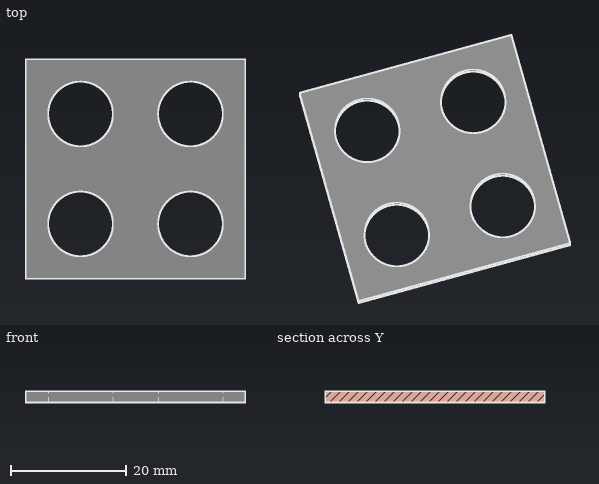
import cadquery as cq

cells_per_side = 2
cell_pitch = 19.05
plate_side = cells_per_side * cell_pitch
plate_thickness = 2.0
hole_diameter = 11.18


def make_plate():
    """Square plate centred on the origin in X and Y, resting on Z = 0."""
    return cq.Workplane("XY").box(
        plate_side, plate_side, plate_thickness, centered=(True, True, False)
    )


def cut_hole_grid(plate):
    """Cut one through hole at the centre of each square cell."""
    return (
        plate.faces(">Z")
        .workplane()
        .rarray(cell_pitch, cell_pitch, cells_per_side, cells_per_side)
        .hole(hole_diameter)
    )


result = cut_hole_grid(make_plate())